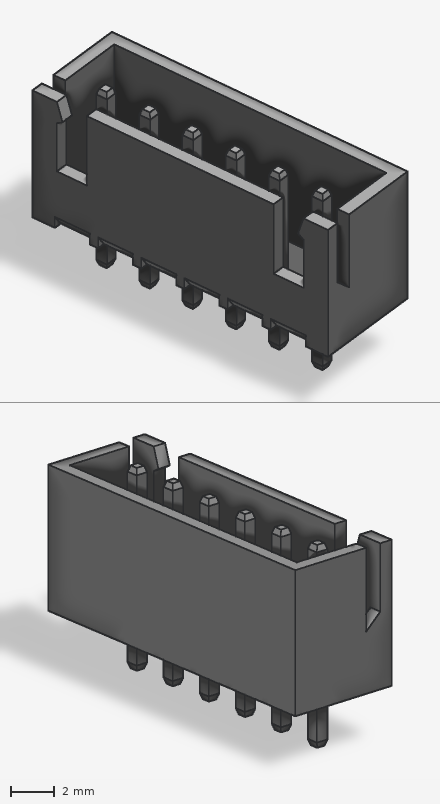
import cadquery as cq

length = 17.37
depth = 5.84
height = 7.2
wall = 0.7
floor = 0.7

pin_count = 6
pitch = 2.54
pin_side = 0.65
pin_tip_side = 0.43
pin_tip_length = 0.31
pin_row_y = 2.47
pin_below = 3.0
pin_top_gap = 0.2

window_outer_offset = 1.45
window_width = 1.75
window_depth = 3.95
lip_reach = 0.33
lip_peak_depth = 1.0
lip_base_depth = 1.22

slot_width = 0.85
slot_front_depth = 3.37
slot_back_depth = 4.13

notch_width = 2.05
notch_height = 0.63
notch_run = 0.43

pin_positions = [(i - (pin_count - 1) / 2) * pitch for i in range(pin_count)]


def make_housing():
    outer = cq.Workplane("XY").box(length, depth, height, centered=(True, False, False))
    cavity = (
        cq.Workplane("XY")
        .box(length - 2 * wall, depth - 2 * wall, height - floor, centered=(True, False, False))
        .translate((0, wall, floor))
    )
    return outer.cut(cavity)


def make_window():
    """Cutter for the left-hand window, with the latch lip left standing."""
    outer_x = -length / 2 + window_outer_offset
    inner_x = outer_x + window_width
    return (
        cq.Workplane("XZ")
        .moveTo(inner_x, height)
        .lineTo(inner_x, height - window_depth)
        .lineTo(outer_x, height - window_depth)
        .lineTo(outer_x, height - lip_base_depth)
        .lineTo(outer_x + lip_reach, height - lip_peak_depth)
        .lineTo(outer_x, height)
        .close()
        .extrude(-wall)
    )


def make_end_slots():
    """Cutter for both end slots: a sloped-bottom channel along the whole length."""
    return (
        cq.Workplane("YZ")
        .moveTo(wall, height)
        .lineTo(wall, height - slot_front_depth)
        .lineTo(wall + slot_width, height - slot_back_depth)
        .lineTo(wall + slot_width, height)
        .close()
        .extrude(length / 2, both=True)
    )


def make_notch(x):
    """Wedge cutter sloping from the front face back to the underside."""
    return (
        cq.Workplane("YZ")
        .polyline([(0, 0), (0, notch_height), (notch_run, 0)])
        .close()
        .extrude(notch_width / 2, both=True)
        .translate((x, 0, 0))
    )


def make_pin(x):
    """Square pin through the floor, tapered at both ends."""
    shank_bottom = -pin_below + pin_tip_length
    shank_top = height - pin_top_gap - pin_tip_length
    shank = (
        cq.Workplane("XY")
        .workplane(offset=shank_bottom)
        .rect(pin_side, pin_side)
        .extrude(shank_top - shank_bottom)
    )
    upper_tip = (
        cq.Workplane("XY")
        .workplane(offset=shank_top)
        .rect(pin_side, pin_side)
        .workplane(offset=pin_tip_length)
        .rect(pin_tip_side, pin_tip_side)
        .loft()
    )
    lower_tip = (
        cq.Workplane("XY")
        .workplane(offset=-pin_below)
        .rect(pin_tip_side, pin_tip_side)
        .workplane(offset=pin_tip_length)
        .rect(pin_side, pin_side)
        .loft()
    )
    return shank.union(upper_tip).union(lower_tip).translate((x, pin_row_y, 0))


left_window = make_window()
result = (
    make_housing()
    .cut(left_window)
    .cut(left_window.mirror("YZ"))
    .cut(make_end_slots())
)
for pin_x in pin_positions:
    result = result.cut(make_notch(pin_x))
    result = result.union(make_pin(pin_x))